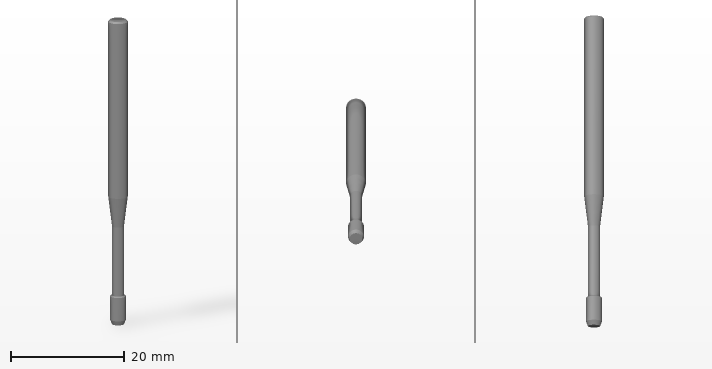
import cadquery as cq

total_length = 56.0
tip_chamfer_height = 0.85
head_length = 5.3
neck_top = 18.05
taper_top = 23.5

shank_diameter = 3.5
neck_diameter = 2.1
head_diameter = 2.8
tip_diameter = 2.2

shank_chamfer = 0.3
shoulder_height = 0.15


def revolve_about_axis(profile):
    """Turn a closed (radius, height) profile about the Z axis."""
    return cq.Workplane("XZ").polyline(profile).close().revolve(360, (0, 0), (0, 1))


def make_head():
    """Cylindrical cutting head with a conical tip and a shallow conical shoulder."""
    head_radius = head_diameter / 2
    profile = [
        (0, 0),
        (tip_diameter / 2, 0),
        (head_radius, tip_chamfer_height),
        (head_radius, head_length - shoulder_height),
        (neck_diameter / 2, head_length),
        (0, head_length),
    ]
    return revolve_about_axis(profile)


def make_holder():
    """Slim neck standing on the head, widening through a taper into the shank."""
    shank_radius = shank_diameter / 2
    neck_radius = neck_diameter / 2
    profile = [
        (0, head_length),
        (neck_radius, head_length),
        (neck_radius, neck_top),
        (shank_radius, taper_top),
        (shank_radius, total_length - shank_chamfer),
        (shank_radius - shank_chamfer, total_length),
        (0, total_length),
    ]
    return revolve_about_axis(profile)


head = make_head()
holder = make_holder()

result = cq.Compound.makeCompound([head.val(), holder.val()])